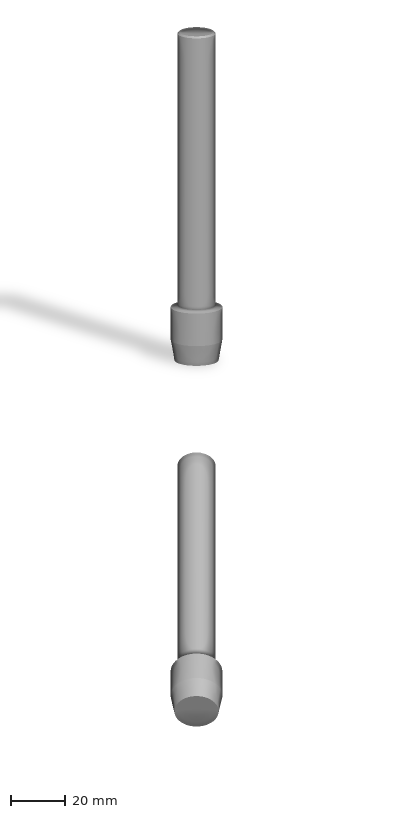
import cadquery as cq

total_length = 125.0
rod_diameter = 14.0
sleeve_diameter = 19.0

rod_chamfer = 0.6

taper_height = 7.9
shoulder_height = 20.2
sleeve_height = 21.0
nose_diameter = 16.2

rod_radius = rod_diameter / 2
sleeve_radius = sleeve_diameter / 2
nose_radius = nose_diameter / 2


def make_rod():
    """Full-length round rod with a chamfered top edge."""
    rod = cq.Workplane("XY").circle(rod_radius).extrude(total_length)
    return rod.faces(">Z").edges().chamfer(rod_chamfer)


def make_sleeve():
    """Ring around the rod's lower end, with a conical taper below and a sloping shoulder above."""
    profile = (
        cq.Workplane("XZ")
        .moveTo(rod_radius, 0)
        .lineTo(nose_radius, 0)
        .lineTo(sleeve_radius, taper_height)
        .lineTo(sleeve_radius, shoulder_height)
        .lineTo(rod_radius, sleeve_height)
        .close()
    )
    return profile.revolve(360, (0, 0, 0), (0, 1, 0))


rod = make_rod()
sleeve = make_sleeve()

result = cq.Compound.makeCompound([rod.val(), sleeve.val()])